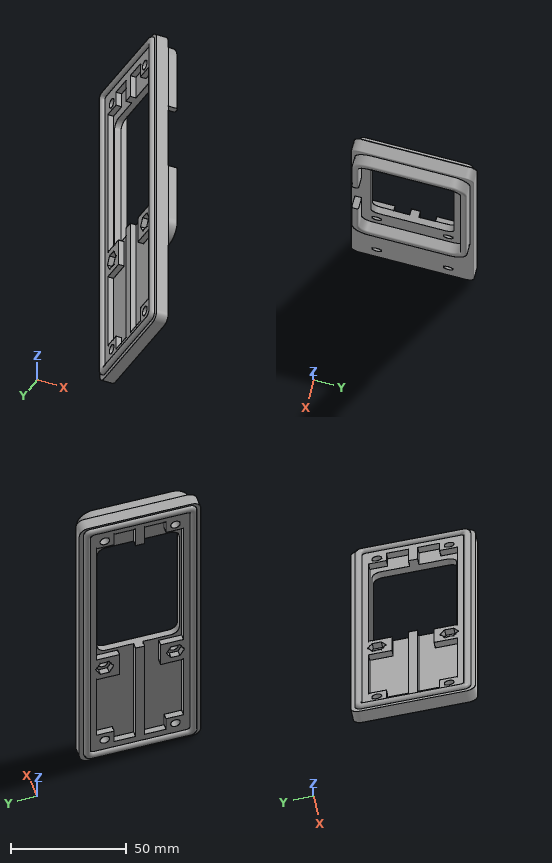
import cadquery as cq


plate_height = 152.0
plate_width = 55.0
plate_thickness = 5.8
plate_corner_radius = 4.1
plate_edge_fillet = 0.5
plate_top = plate_height / 2

bead_rise = 1.8
bead_width = 3.0
bead_outer_corner_radius = bead_width
bead_side_margin = 2.0
bead_bottom_margin = 2.0
bead_top_margin = 0.9
bead_inner_corner_radius = 1.5

rim_rise = 5.5
rim_wall = 3.0
rim_width = 51.4
rim_height = 102.1
rim_top = plate_top - 1.5
rim_corner_radius = 7.9
rim_edge_fillet = 0.9
notch_top = plate_top - 36.8
notch_height = 31.3

window_width = 37.1
window_height = 67.0
window_top = plate_top - 18.7
window_corner_radius = 4.0

pocket_depth = 2.7
pocket_half_width = 19.6
pocket_half_height = 68.0
pocket_centre_z = 0.3
spine_width = 4.1
end_pad_reach = 11.7
end_pad_height = 6.8
middle_pad_reach = 9.3
middle_pad_height = 12.9

hole_diameter = 4.3
hole_y = 16.0
end_hole_z = 65.0
middle_hole_z = -18.0
nut_across_corners = 8.0
nut_depth = pocket_depth


def block(x_start, x_length, width, top, height, corner_radius=0):
    """Block centred on Y = 0 and hanging down from top, with its X edges rounded."""
    solid = cq.Workplane("XY").box(x_length, width, height)
    if corner_radius > 0:
        solid = solid.edges("|X").fillet(corner_radius)
    return solid.translate((x_start + x_length / 2, 0, top - height / 2))


def side_block(x_start, x_length, y_range, z_range):
    """Sharp block between two Y and two Z positions."""
    y_low, y_high = y_range
    z_low, z_high = z_range
    solid = cq.Workplane("XY").box(x_length, y_high - y_low, z_high - z_low, centered=False)
    return solid.translate((x_start, y_low, z_low))


def make_plate():
    plate = block(0, plate_thickness, plate_width, plate_top, plate_height, plate_corner_radius)
    return plate.faces(">X").edges().fillet(plate_edge_fillet)


def rounded_ring(x_start, x_length, size, top, wall, corner_radii, end_face, edge_fillet):
    """Rounded-rectangle ring whose outer and inner edges are filleted on one end face.

    A plug shaped like the ring's outline is filleted on its outer edge, and an oversized
    slab is filleted around the opening; the ring is what the two have in common.
    """
    width, height = size
    outer_radius, inner_radius = corner_radii
    plug = block(x_start, x_length, width, top, height, outer_radius)
    plug = plug.faces(end_face).edges().fillet(edge_fillet)
    slab = block(x_start, x_length, width + 2 * wall, top + wall, height + 2 * wall)
    opening = block(
        x_start,
        x_length,
        width - 2 * wall,
        top - wall,
        height - 2 * wall,
        inner_radius,
    )
    slab = slab.cut(opening)
    opening_loop = slab.faces(end_face).val().innerWires()[0]
    slab = slab.newObject(opening_loop.Edges()).fillet(edge_fillet)
    return plug.intersect(slab)


def make_bead():
    """Sealing bead with a fully rounded crest."""
    size = (
        plate_width - 2 * bead_side_margin,
        plate_height - bead_top_margin - bead_bottom_margin,
    )
    return rounded_ring(
        -bead_rise,
        bead_rise,
        size,
        plate_top - bead_top_margin,
        bead_width,
        (bead_outer_corner_radius, bead_inner_corner_radius),
        "<X",
        bead_width / 2,
    )


def make_rim():
    """Rim wall open at the notch in its -Y side."""
    rim = rounded_ring(
        plate_thickness,
        rim_rise,
        (rim_width, rim_height),
        rim_top,
        rim_wall,
        (rim_corner_radius, rim_corner_radius - rim_wall),
        ">X",
        rim_edge_fillet,
    )
    notch = side_block(
        plate_thickness,
        rim_rise,
        (-rim_width / 2, -rim_width / 2 + rim_wall),
        (notch_top - notch_height, notch_top),
    )
    return rim.cut(notch)


def make_pocket():
    """Two mirrored recesses, one on each side of the central spine."""
    top = pocket_centre_z + pocket_half_height
    bottom = pocket_centre_z - pocket_half_height
    recess = side_block(0, pocket_depth, (spine_width / 2, pocket_half_width), (bottom, top))
    pads = (
        (end_pad_reach, top - end_pad_height, top),
        (end_pad_reach, bottom, bottom + end_pad_height),
        (
            middle_pad_reach,
            middle_hole_z - middle_pad_height / 2,
            middle_hole_z + middle_pad_height / 2,
        ),
    )
    for reach, z_low, z_high in pads:
        recess = recess.cut(side_block(0, pocket_depth, (reach, pocket_half_width), (z_low, z_high)))
    return recess.union(recess.mirror("XZ"))


def make_screw_holes():
    """Six through holes; the middle pair has hexagonal nut recesses on the -X side."""
    rows = (end_hole_z, middle_hole_z, -end_hole_z)
    centres = [(y, z) for z in rows for y in (-hole_y, hole_y)]
    nut_centres = [(-hole_y, middle_hole_z), (hole_y, middle_hole_z)]
    holes = cq.Workplane("YZ").pushPoints(centres).circle(hole_diameter / 2).extrude(plate_thickness)
    nuts = cq.Workplane("YZ").pushPoints(nut_centres).polygon(6, nut_across_corners).extrude(nut_depth)
    return holes.union(nuts)


window = block(0, plate_thickness, window_width, window_top, window_height, window_corner_radius)

result = (
    make_plate()
    .cut(window)
    .cut(make_pocket())
    .cut(make_screw_holes())
    .union(make_bead())
    .union(make_rim())
)